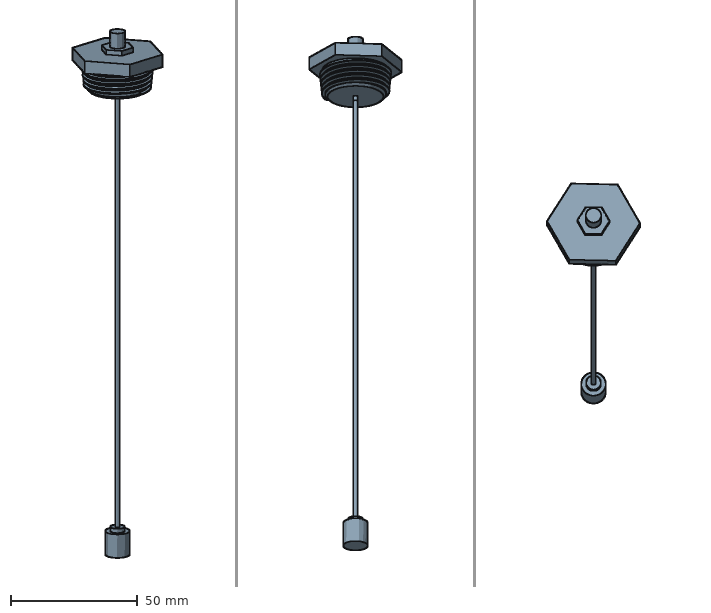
import cadquery as cq
import math

total_height = 216.0
post_height = 6.3
nut_height = 2.0
flange_height = 5.2
threaded_length = 11.0
stub_length = 2.0
weight_height = 9.7
collar_height = 1.7

flange_across_flats = 31.7
nut_across_flats = 11.0
post_diameter = 6.0
rod_diameter = 2.0
weight_diameter = 9.7
collar_diameter = 5.8

thread_pitch = 2.0
thread_depth = 1.0
crest_diameter_top = 28.5
crest_diameter_bottom = 26.3
thread_end_diameter = 22.0
ridge_turns = 5
ridge_base = 1.5
ridge_crest = 0.2
ridge_embed = 0.2
crest_below_flange = 2.0

nut_top = total_height - post_height
flange_top = nut_top - nut_height
flange_bottom = flange_top - flange_height
thread_bottom = flange_bottom - threaded_length
rod_top = thread_bottom - stub_length
rod_bottom = weight_height + collar_height


def hexagon(across_flats, height, base_z):
    """Hexagonal plate with two corners on the Y axis."""
    across_corners = across_flats / math.cos(math.pi / 6)
    return (
        cq.Workplane("XY", origin=(0, 0, base_z))
        .polygon(6, across_corners)
        .extrude(height)
        .rotate((0, 0, 0), (0, 0, 1), 30)
    )


def cylinder(diameter, height, base_z):
    return cq.Workplane("XY", origin=(0, 0, base_z)).circle(diameter / 2).extrude(height)


def tapered_core():
    """Thread core, tapered down to the root diameter and chamfered at its lower end."""
    root_top = crest_diameter_top / 2 - thread_depth
    root_bottom = crest_diameter_bottom / 2 - thread_depth
    end_radius = thread_end_diameter / 2
    chamfer = root_bottom - end_radius
    return (
        cq.Workplane("XZ")
        .moveTo(0, thread_bottom)
        .lineTo(end_radius, thread_bottom)
        .lineTo(root_bottom, thread_bottom + chamfer)
        .lineTo(root_top, flange_bottom)
        .lineTo(0, flange_bottom)
        .close()
        .revolve(360, (0, 0, 0), (0, 1, 0))
    )


def thread_ridge():
    """Helical ridge that starts above the chamfer and runs up into the flange."""
    helix_height = ridge_turns * thread_pitch
    start_z = flange_bottom - crest_below_flange - (ridge_turns - 1) * thread_pitch
    taper_slope = (crest_diameter_top - crest_diameter_bottom) / 2 / threaded_length
    start_crest = crest_diameter_bottom / 2 + taper_slope * (start_z - thread_bottom)
    base_radius = start_crest - thread_depth - ridge_embed
    helix = cq.Wire.makeHelix(
        thread_pitch,
        helix_height,
        base_radius,
        center=cq.Vector(0, 0, start_z),
        angle=math.degrees(math.atan(taper_slope)),
    )
    profile = cq.Workplane("XZ").polyline([
        (base_radius, start_z - ridge_base / 2),
        (start_crest, start_z - ridge_crest / 2),
        (start_crest, start_z + ridge_crest / 2),
        (base_radius, start_z + ridge_base / 2),
    ]).close()
    return profile.sweep(cq.Workplane(helix), isFrenet=True)


def make_plug():
    """Hexagonal flange with the tapered thread and a short rod stub below it."""
    flange = hexagon(flange_across_flats, flange_height, flange_bottom)
    stub = cylinder(rod_diameter, stub_length, rod_top)
    return flange.union(tapered_core()).union(thread_ridge()).union(stub)


def make_fitting():
    """Small hexagon with a round post, resting on the flange."""
    return hexagon(nut_across_flats, nut_height, flange_top).union(
        cylinder(post_diameter, post_height, nut_top)
    )


def make_rod():
    return cylinder(rod_diameter, rod_top - rod_bottom, rod_bottom)


def make_weight():
    """Round weight with a narrower collar on top."""
    return cylinder(weight_diameter, weight_height, 0).union(
        cylinder(collar_diameter, collar_height, weight_height)
    )


plug = make_plug()
fitting = make_fitting()
rod = make_rod()
weight = make_weight()

result = cq.Compound.makeCompound([plug.val(), fitting.val(), rod.val(), weight.val()])